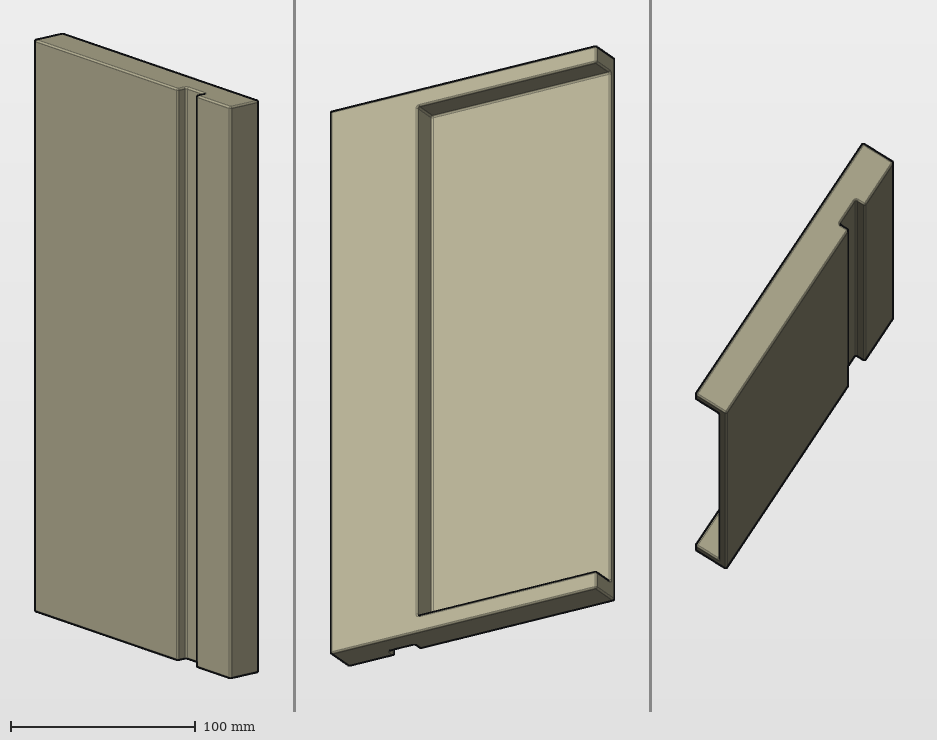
import cadquery as cq

WIDTH = 167.65
THICKNESS = 20.0
HEIGHT = 322.5
EDGE_RADIUS = 1.0

GROOVE_LEFT = 122.6
GROOVE_WIDTH = 16.0
GROOVE_DEPTH = 6.0

END_WALL = 10.0
FACE_WALL = 5.0
GROOVE_SIDE_WALL = 10.0


def make_panel():
    """Plain rectangular panel centred on the origin."""
    return cq.Workplane("XY").box(WIDTH, THICKNESS, HEIGHT)


def make_groove():
    """Rectangular channel cut from the face over the full height."""
    return (
        cq.Workplane("XY")
        .box(GROOVE_WIDTH, GROOVE_DEPTH, HEIGHT, centered=(False, False, True))
        .translate((GROOVE_LEFT - WIDTH / 2, -THICKNESS / 2, 0))
    )


def make_pocket():
    """Recess between the end walls, stopping short of the groove."""
    length = GROOVE_LEFT - GROOVE_SIDE_WALL
    depth = THICKNESS - FACE_WALL
    pocket_height = HEIGHT - 2 * END_WALL
    return (
        cq.Workplane("XY")
        .box(length, depth, pocket_height, centered=(False, False, True))
        .translate((-WIDTH / 2, FACE_WALL - THICKNESS / 2, 0))
    )


body = make_panel().cut(make_groove()).cut(make_pocket())

result = body.edges().fillet(EDGE_RADIUS)